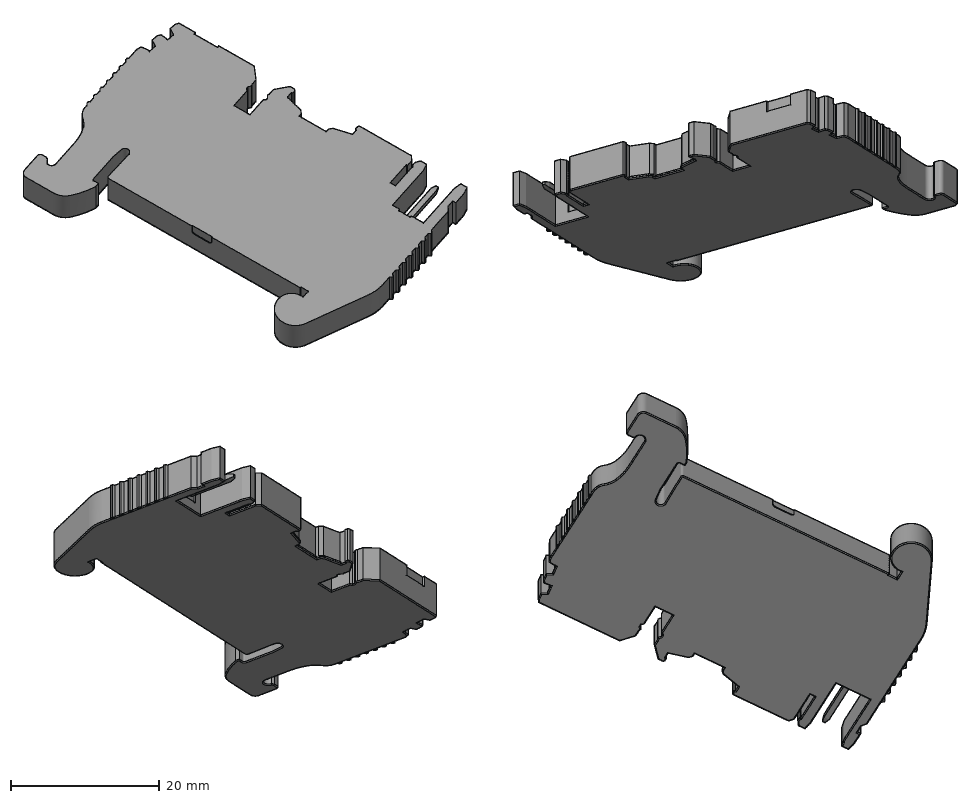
import cadquery as cq
import math

LENGTH = 50.95
HEIGHT = 33.2
THICKNESS = 5.05
BOTTOM_CHAMFER = 0.15

LEFT_SIDE = 0.5
LEFT_RIDGE_HEIGHT = 0.2
RIDGE_HEIGHT = 0.3
RIGHT_SIDE = LENGTH - RIDGE_HEIGHT
RAIL_FACE = 6.3

WEB_THICKNESS = 0.4
WEB_WIDTH = 0.2

RIDGE_COUNT = 7
RIDGE_SPAN = 9.0
RIDGE_PITCH = RIDGE_SPAN / (RIDGE_COUNT - 1)
FIRST_RIDGE_Y = 15.15
RIDGE_BASE = 0.7
RIDGE_TIP = 0.3

FOOT_TOE_HEIGHT = 4.4
TOE_RADIUS = 0.5
FOOT_CORNER = 0.9
TOE_EDGE_X = 1.15
HEEL_START_X = 5.45
HEEL_MIDDLE = (7.55, 0.95)
HEEL_END_Y = 4.25
FOOT_LEDGE_X = 9.45
FOOT_LEDGE_Y = 4.85
LEDGE_RADIUS = 0.25
SLIT_RIGHT = 9.95
SLIT_LEFT = 8.45
SLIT_TOP = 11.85
SLIT_TOP_LEFT = 8.65
SLIT_ARC_Y = 11.25
SLIT_TAPER_Y = 9.7
SLIT_LEAN = 0.1
RAIL_CORNER = 0.3
SHOULDER_TOP = 14.25
SHOULDER_RADIUS = 2.1
SHOULDER_ANGLE = 52
NECK_RADIUS = 3.3
NECK_ANGLE = 20
ARM_RADIUS = 7.65
TOE_GROOVE_RADIUS = 0.65
TOE_GROOVE_Y = 4.2

HOOK_CENTER_X = 43.4
HOOK_CENTER_Y = 3.05
HOOK_RADIUS = 2.85
HOOK_NOSE_RADIUS = 2.25
SLOPE_BLEND_RADIUS = 6.1
HOOK_SLOPE_ANGLE = 65.2
UNDERCUT_RIGHT = 43.1
UNDERCUT_START = 41.85
UNDERCUT_STEP = 0.15

TOOTH_COUNT = 2
TOOTH_STEP_X = -0.85
TOOTH_STEP_Y = -3.0
TOOTH_CREST = [(2.6, HEIGHT), (2.3, 32.8), (2.15, 31.8)]
TOOTH_ROOT_X = 2.9
TOOTH_ROOT_TOP_Y = 31.3
TOOTH_ROOT_BOTTOM_Y = 30.1
TOOTH_ROOT_LEAN = 0.15
TOOTH_RELIEF_SLANT = 0.1
SHELF_LEFT = 0.75
SHELF_Y = 27.0
SHELF_BEVEL = 0.65

DRIVER_CENTER = 18.05
DRIVER_HALF_WIDTH = 1.3
DRIVER_FLOOR = 26.2
DRIVER_NECK_HALF = 1.45
DRIVER_NECK_Y = 31.5
DRIVER_MOUTH_HALF = 2.95
DRIVER_NOTCH_TOP = 29.85
DRIVER_NOTCH_BOTTOM = 29.55
DRIVER_STRAIGHT_TOP = 29.3
DRIVER_NOTCH_HALF = 1.65
DRIVER_BUMP_Y = 30.25
DRIVER_BUMP_TOP = 30.55

WINDOW_CENTER = 27.15
WINDOW_FLOOR = 30.05
WINDOW_FLOOR_HALF = 2.25
WINDOW_STEP_Y = 31.0
WINDOW_STEP_HALF = 2.65
WINDOW_SIDE_Y = 31.75
WINDOW_SIDE_HALF = 5.4
WINDOW_LIP_Y = 32.55
WINDOW_LIP_HALF = 5.2
WINDOW_SIDE_TOP = 32.45
WINDOW_LIP_BEVEL = 0.2
WINDOW_STEP_BEVEL = 0.45

TEST_LEFT = 41.65
TEST_RIGHT = 42.3
TEST_FLOOR = 28.1
TEST_WEB_STEP = 0.3
TEST_RELIEF_TOP = 31.6
TEST_MOUTH_Y = 32.55
TEST_LEFT_BEVEL = 0.5
TEST_RIGHT_BEVEL = 0.3
TEST_BEAD = 0.15
TEST_BEAD_Y = 31.95

POCKET_LEFT = 43.9
POCKET_RIGHT = 49.05
POCKET_FLOOR = 24.9
PRONG_TAPER_Y = 32.05
PRONG_TAPER = 0.25
PIN_CENTER = 46.05
PIN_WIDTH = 0.8
PIN_TIP_WIDTH = 0.4
PIN_TOP = 3.1
PIN_SHOULDER_Y = 31.5
PIN_END_Y = 32.3
PIN_SEAT_WIDTH = 1.95
PIN_SEAT_DEPTH = 0.25
PIN_SEAT_BOTTOM = 1.55

SIDE_NOTCH_TOP = 30.2
SIDE_NOTCH_BOTTOM = 29.15
SIDE_NOTCH_RAMP_Y = 28.45
SIDE_NOTCH_DEPTH = 0.5

RAIL_RECESS_LEFT = 23.9
RAIL_RECESS_WIDTH = 3.25
RAIL_RECESS_DEPTH = 0.1
RECESS_HEIGHT = 1.6
RECESS_CORNER = 0.5
TOP_RECESS_LEFT = 5.3
TOP_RECESS_WIDTH = 3.85
TOP_RECESS_DEPTH = 0.3


def prism(points, bottom=0.0, top=THICKNESS):
    """Extrude a closed polygon between two Z levels."""
    return cq.Workplane("XY").workplane(offset=bottom).polyline(points).close().extrude(top - bottom)


def mirrored(center, half_profile):
    """Points of a symmetric opening, from its upper left to its upper right."""
    left = [(center - half, y) for half, y in half_profile]
    right = [(center + half, y) for half, y in reversed(half_profile)]
    return left + right


def make_body():
    """Solid outline with both feet and a plain upper edge."""
    steep = math.radians(SHOULDER_ANGLE)
    shallow = math.radians(NECK_ANGLE)
    shoulder_x = LEFT_SIDE + SHOULDER_RADIUS * (1 - math.cos(steep))
    shoulder_y = SHOULDER_TOP - SHOULDER_RADIUS * math.sin(steep)
    neck_x = shoulder_x + NECK_RADIUS * (math.cos(shallow) - math.cos(steep))
    neck_y = shoulder_y - NECK_RADIUS * (math.sin(steep) - math.sin(shallow))
    arm_left = neck_x + ARM_RADIUS * (1 - math.cos(shallow))
    arm_top = neck_y - ARM_RADIUS * math.sin(shallow)
    slit_mouth_x = SLIT_RIGHT - SLIT_LEAN
    corner_inset = RAIL_CORNER * (1 - math.sqrt(0.5))
    hook_left = HOOK_CENTER_X - HOOK_RADIUS
    nose_center_x = hook_left + HOOK_NOSE_RADIUS
    nose_rise = HOOK_NOSE_RADIUS * math.sqrt(0.5)
    nose_start_y = HOOK_CENTER_Y + math.sqrt(HOOK_NOSE_RADIUS**2 - (UNDERCUT_RIGHT - nose_center_x) ** 2)
    slope = math.radians(HOOK_SLOPE_ANGLE)
    slope_x = HOOK_CENTER_X + HOOK_RADIUS * math.sin(slope)
    slope_y = HOOK_CENTER_Y - HOOK_RADIUS * math.cos(slope)
    corner_y = slope_y + (RIGHT_SIDE - slope_x) * math.tan(slope)
    blend = SLOPE_BLEND_RADIUS * math.tan((math.pi / 2 - slope) / 2)
    blend_start = (RIGHT_SIDE - blend * math.cos(slope), corner_y - blend * math.sin(slope))
    outline = (
        cq.Workplane("XY")
        .moveTo(LEFT_SIDE, HEIGHT)
        .lineTo(LEFT_SIDE, SHOULDER_TOP)
        .tangentArcPoint((shoulder_x, shoulder_y), relative=False)
        .tangentArcPoint((neck_x, neck_y), relative=False)
        .tangentArcPoint((arm_left, arm_top), relative=False)
        .lineTo(arm_left, TOE_GROOVE_Y)
        .threePointArc((arm_left - TOE_GROOVE_RADIUS, TOE_GROOVE_Y - TOE_GROOVE_RADIUS),
                       (arm_left - 2 * TOE_GROOVE_RADIUS, TOE_GROOVE_Y))
        .lineTo(TOE_EDGE_X, FOOT_TOE_HEIGHT)
        .lineTo(TOE_RADIUS, FOOT_TOE_HEIGHT)
        .tangentArcPoint((0, FOOT_TOE_HEIGHT - TOE_RADIUS), relative=False)
        .lineTo(0, FOOT_CORNER)
        .tangentArcPoint((FOOT_CORNER, 0), relative=False)
        .lineTo(HEEL_START_X, 0)
        .tangentArcPoint(HEEL_MIDDLE, relative=False)
        .tangentArcPoint((FOOT_LEDGE_X, HEEL_END_Y), relative=False)
        .lineTo(FOOT_LEDGE_X, FOOT_LEDGE_Y)
        .lineTo(SLIT_LEFT + LEDGE_RADIUS, FOOT_LEDGE_Y)
        .tangentArcPoint((SLIT_LEFT, FOOT_LEDGE_Y + LEDGE_RADIUS), relative=False)
        .lineTo(SLIT_LEFT, SLIT_TAPER_Y)
        .lineTo(SLIT_TOP_LEFT, SLIT_ARC_Y)
        .threePointArc(((SLIT_TOP_LEFT + SLIT_RIGHT) / 2, SLIT_TOP), (SLIT_RIGHT, SLIT_ARC_Y))
        .lineTo(slit_mouth_x, RAIL_FACE + RAIL_CORNER)
        .threePointArc((slit_mouth_x + corner_inset, RAIL_FACE + corner_inset),
                       (slit_mouth_x + RAIL_CORNER, RAIL_FACE))
        .lineTo(UNDERCUT_START, RAIL_FACE)
        .lineTo(UNDERCUT_START, RAIL_FACE + UNDERCUT_STEP)
        .lineTo(UNDERCUT_RIGHT, RAIL_FACE + UNDERCUT_STEP)
        .lineTo(UNDERCUT_RIGHT, nose_start_y)
        .threePointArc((nose_center_x - nose_rise, HOOK_CENTER_Y + nose_rise), (hook_left, HOOK_CENTER_Y))
        .threePointArc((HOOK_CENTER_X, HOOK_CENTER_Y - HOOK_RADIUS), (slope_x, slope_y))
        .lineTo(*blend_start)
        .tangentArcPoint((RIGHT_SIDE, corner_y + blend), relative=False)
        .lineTo(RIGHT_SIDE, HEIGHT)
        .close()
    )
    return outline.extrude(THICKNESS)


def ridges(side_x, tip_x):
    """Row of trapezoidal grip ridges along one side."""
    row = cq.Workplane("XY")
    for index in range(RIDGE_COUNT):
        y = FIRST_RIDGE_Y + index * RIDGE_PITCH
        row = row.union(prism([
            (side_x, y - RIDGE_BASE / 2),
            (tip_x, y - RIDGE_TIP / 2),
            (tip_x, y + RIDGE_TIP / 2),
            (side_x, y + RIDGE_BASE / 2),
        ]))
    return row


def tooth_root(index):
    """Upper and lower end of the wall below one tooth."""
    dx = index * TOOTH_STEP_X
    dy = index * TOOTH_STEP_Y
    top = (TOOTH_ROOT_X + dx, TOOTH_ROOT_TOP_Y + dy)
    bottom = (TOOTH_ROOT_X - TOOTH_ROOT_LEAN + dx, TOOTH_ROOT_BOTTOM_Y + dy)
    return top, bottom


def tooth_cut():
    """Everything outside the stepped teeth."""
    points = [(0, HEIGHT)]
    for index in range(TOOTH_COUNT):
        dx = index * TOOTH_STEP_X
        dy = index * TOOTH_STEP_Y
        points += [(x + dx, y + dy) for x, y in TOOTH_CREST]
        points += tooth_root(index)
    points += [(SHELF_LEFT, SHELF_Y), (LEFT_SIDE, SHELF_Y - SHELF_BEVEL), (0, SHELF_Y - SHELF_BEVEL)]
    return prism(points)


def tooth_reliefs():
    """Widening of each tooth root above the bottom web."""
    cuts = cq.Workplane("XY")
    for index in range(TOOTH_COUNT):
        top, bottom = tooth_root(index)
        cuts = cuts.union(prism([
            top,
            (top[0] + WEB_WIDTH, top[1] - TOOTH_RELIEF_SLANT),
            (bottom[0] + WEB_WIDTH, bottom[1] - TOOTH_RELIEF_SLANT),
            bottom,
        ], WEB_THICKNESS))
    return cuts


def driver_slot():
    """Funnel-mouthed slot through the full thickness."""
    return prism(mirrored(DRIVER_CENTER, [
        (DRIVER_MOUTH_HALF, HEIGHT),
        (DRIVER_NECK_HALF, DRIVER_NECK_Y),
        (DRIVER_NECK_HALF, DRIVER_BUMP_TOP),
        (DRIVER_HALF_WIDTH, DRIVER_BUMP_Y),
        (DRIVER_NOTCH_HALF, DRIVER_NOTCH_TOP),
        (DRIVER_NOTCH_HALF, DRIVER_NOTCH_BOTTOM),
        (DRIVER_HALF_WIDTH, DRIVER_STRAIGHT_TOP),
        (DRIVER_HALF_WIDTH, DRIVER_FLOOR),
    ]))


def window(drop, bottom):
    """Marker window; drop lowers its floor and slopes."""
    return prism(mirrored(WINDOW_CENTER, [
        (WINDOW_LIP_HALF + WINDOW_LIP_BEVEL, HEIGHT),
        (WINDOW_LIP_HALF, HEIGHT - WINDOW_LIP_BEVEL),
        (WINDOW_LIP_HALF, WINDOW_LIP_Y),
        (WINDOW_SIDE_HALF, WINDOW_SIDE_TOP),
        (WINDOW_SIDE_HALF, WINDOW_SIDE_Y - drop),
        (WINDOW_STEP_HALF, WINDOW_STEP_Y - drop),
        (WINDOW_FLOOR_HALF, WINDOW_STEP_Y - WINDOW_STEP_BEVEL - drop),
        (WINDOW_FLOOR_HALF, WINDOW_FLOOR - drop),
    ]), bottom)


def test_slot():
    """Narrow slot, and its widening above the bottom web."""
    slot = prism([
        (TEST_LEFT - TEST_LEFT_BEVEL, HEIGHT),
        (TEST_LEFT, TEST_MOUTH_Y),
        (TEST_LEFT, TEST_FLOOR),
        (TEST_RIGHT, TEST_FLOOR),
        (TEST_RIGHT, TEST_BEAD_Y),
        (TEST_RIGHT - TEST_BEAD, TEST_BEAD_Y),
        (TEST_RIGHT - TEST_BEAD, TEST_MOUTH_Y),
        (TEST_RIGHT + TEST_RIGHT_BEVEL, HEIGHT),
    ])
    relief_floor = TEST_FLOOR - TEST_WEB_STEP
    relief_left = TEST_LEFT - WEB_WIDTH
    relief = prism([
        (relief_left, relief_floor),
        (TEST_RIGHT, relief_floor),
        (TEST_RIGHT, TEST_RELIEF_TOP),
        (relief_left, TEST_RELIEF_TOP),
    ], WEB_THICKNESS)
    return slot, relief


def contact_pocket():
    """Wide pocket between the two tapered prongs."""
    return prism([
        (POCKET_LEFT - PRONG_TAPER, HEIGHT),
        (POCKET_LEFT, PRONG_TAPER_Y),
        (POCKET_LEFT, POCKET_FLOOR),
        (POCKET_RIGHT, POCKET_FLOOR),
        (POCKET_RIGHT, PRONG_TAPER_Y),
        (POCKET_RIGHT + PRONG_TAPER, HEIGHT),
    ])


def pin_seat():
    """Shallow pocket in the pocket floor around the pin root."""
    left = PIN_CENTER - PIN_SEAT_WIDTH / 2
    seat_y = POCKET_FLOOR - PIN_SEAT_DEPTH
    return (
        cq.Workplane("XY")
        .box(PIN_SEAT_WIDTH, PIN_SEAT_DEPTH, THICKNESS - PIN_SEAT_BOTTOM, centered=False)
        .translate((left, seat_y, PIN_SEAT_BOTTOM))
    )


def contact_pin():
    """Square pin along Y with a tapered tip."""
    axis_z = PIN_TOP - PIN_WIDTH / 2
    root_y = POCKET_FLOOR - 2 * PIN_SEAT_DEPTH
    shaft = (
        cq.Workplane("XZ", origin=(PIN_CENTER, root_y, axis_z))
        .rect(PIN_WIDTH, PIN_WIDTH)
        .extrude(root_y - PIN_SHOULDER_Y)
    )
    tip = (
        cq.Workplane("XZ", origin=(PIN_CENTER, PIN_SHOULDER_Y, axis_z))
        .rect(PIN_WIDTH, PIN_WIDTH)
        .workplane(offset=PIN_SHOULDER_Y - PIN_END_Y)
        .rect(PIN_TIP_WIDTH, PIN_TIP_WIDTH)
        .loft()
    )
    return shaft.union(tip)


def right_prong_cuts():
    """Side notch with a ramp, and the tapered outer tip."""
    notch_x = RIGHT_SIDE - SIDE_NOTCH_DEPTH
    notch = prism([
        (RIGHT_SIDE, SIDE_NOTCH_TOP),
        (notch_x, SIDE_NOTCH_TOP),
        (notch_x, SIDE_NOTCH_BOTTOM),
        (RIGHT_SIDE, SIDE_NOTCH_RAMP_Y),
    ])
    tip = prism([
        (RIGHT_SIDE - PRONG_TAPER, HEIGHT),
        (RIGHT_SIDE, PRONG_TAPER_Y),
        (RIGHT_SIDE, HEIGHT),
    ])
    return notch.union(tip)


def rail_recess():
    """Round-cornered recess in the rail face."""
    block = (
        cq.Workplane("XY")
        .box(RAIL_RECESS_WIDTH, RAIL_RECESS_DEPTH, RECESS_HEIGHT, centered=False)
        .edges("|Y and <Z")
        .fillet(RECESS_CORNER)
    )
    return block.translate((RAIL_RECESS_LEFT, RAIL_FACE, THICKNESS - RECESS_HEIGHT))


def top_recess():
    """Plain recess in the upper edge."""
    floor_y = HEIGHT - TOP_RECESS_DEPTH
    return (
        cq.Workplane("XY")
        .box(TOP_RECESS_WIDTH, TOP_RECESS_DEPTH, RECESS_HEIGHT, centered=False)
        .translate((TOP_RECESS_LEFT, floor_y, THICKNESS - RECESS_HEIGHT))
    )


test_opening, test_relief = test_slot()

body = make_body()
for opening in (tooth_cut(), driver_slot(), window(0, 0), test_opening,
                contact_pocket(), right_prong_cuts()):
    body = body.cut(opening)
body = body.faces("<Z").edges().chamfer(BOTTOM_CHAMFER)

body = body.union(ridges(LEFT_SIDE, LEFT_SIDE - LEFT_RIDGE_HEIGHT))
body = body.union(ridges(RIGHT_SIDE, LENGTH))

for relief in (tooth_reliefs(), window(WEB_WIDTH, WEB_THICKNESS), test_relief,
               pin_seat(), rail_recess(), top_recess()):
    body = body.cut(relief)

result = body.union(contact_pin())